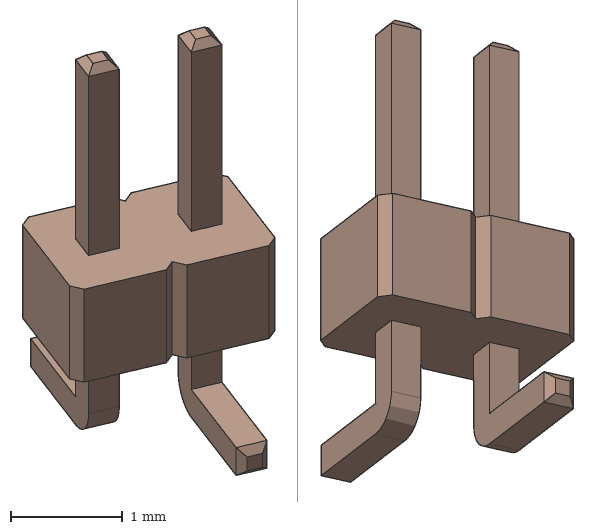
import cadquery as cq
import math

pitch = 1.0
pin_count = 2
body_width = 1.27
body_height = 1.0
body_bottom = 1.0
corner_chamfer = 0.1
pin_width = 0.3
pin_top = 4.0
foot_span = 2.5
tip_length = 0.075
tip_inset = pin_width / 4

half_pin = pin_width / 2
foot_reach = foot_span / 2
row_length = pin_count * pitch


def make_body_cell(y):
    """One chamfered housing block; neighbouring blocks meet in V notches."""
    return (
        cq.Workplane("XY")
        .box(body_width, pitch, body_height, centered=(True, True, False))
        .edges("|Z")
        .chamfer(corner_chamfer)
        .translate((0, y, body_bottom))
    )


def make_tip():
    """Tapered pin end, standing on the XY plane and pointing up."""
    end_width = pin_width - 2 * tip_inset
    return (
        cq.Workplane("XY")
        .rect(pin_width, pin_width)
        .workplane(offset=tip_length)
        .rect(end_width, end_width)
        .loft(ruled=True)
    )


def make_pin():
    """L-shaped pin with its foot toward -X: sharp inner corner, round heel."""
    shank_top = pin_top - tip_length
    foot_end = -(foot_reach - tip_length)
    arc_offset = pin_width * math.cos(math.pi / 4)
    heel_middle = (-half_pin + arc_offset, pin_width - arc_offset)
    bar = (
        cq.Workplane("XZ")
        .moveTo(foot_end, 0)
        .lineTo(-half_pin, 0)
        .threePointArc(heel_middle, (half_pin, pin_width))
        .lineTo(half_pin, shank_top)
        .lineTo(-half_pin, shank_top)
        .lineTo(-half_pin, pin_width)
        .lineTo(foot_end, pin_width)
        .close()
        .extrude(half_pin, both=True)
    )
    top_tip = make_tip().translate((0, 0, shank_top))
    foot_tip = (
        make_tip()
        .rotate((0, 0, 0), (0, 1, 0), -90)
        .translate((foot_end, 0, half_pin))
    )
    return bar.union(top_tip).union(foot_tip)


result = cq.Workplane("XY")
for index in range(pin_count):
    y = (index + 0.5) * pitch - row_length / 2
    foot_turn = 180 * (index % 2)
    pin = make_pin().rotate((0, 0, 0), (0, 0, 1), foot_turn).translate((0, y, 0))
    result = result.union(make_body_cell(y)).union(pin)
result = result.clean()